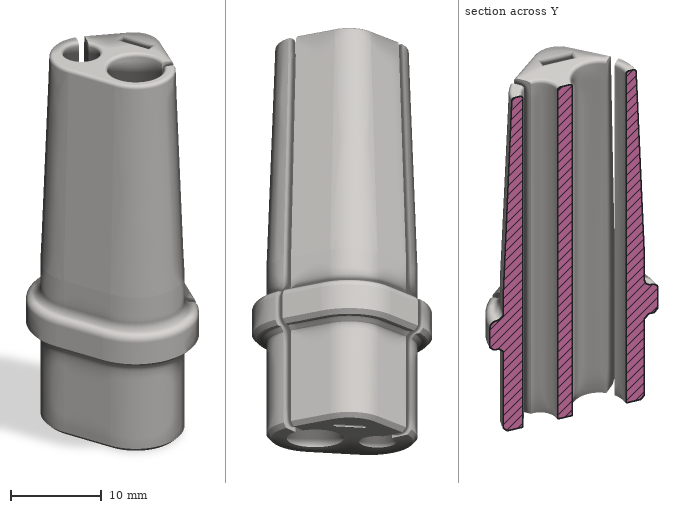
import cadquery as cq
import math

total_height = 45.5
collar_bottom = 11.5
collar_top = 15.5
taper_start = 19.5

lobe_x = 3.0
lobe_radius = 5.4
apex_radius = 4.0
apex_y = 4.5

collar_overhang = 1.6
collar_apex_overhang = 1.7
taper_inset = 1.0

top_edge_round = 0.4
mouth_round = 0.4
bottom_chamfer = 0.5
collar_top_round = collar_overhang / 2
collar_bottom_chamfer = 0.5

small_bore_x = -4.0
small_bore_radius = 2.05
large_bore_x = lobe_x
large_bore_radius = 3.15
slit_width = 1.0
slit_angle = 45.0
slit_length = 2 * (lobe_radius + collar_overhang)

strap_y = 5.0
strap_length = 3.6
strap_width = 0.7

selection_margin = 0.1


def outline(z, lobe_offset, apex_offset):
    """Closed outline at height z, with the straight body's lobes and apex grown by their offsets."""
    lobe = lobe_radius + lobe_offset
    apex = apex_radius + apex_offset
    centre_distance = math.hypot(lobe_x, apex_y)
    centre_angle = math.atan2(apex_y, -lobe_x)
    normal = centre_angle - math.acos((lobe - apex) / centre_distance)
    middle = (normal - math.pi / 2) / 2

    def lobe_point(side, angle):
        return (side * (lobe_x + lobe * math.cos(angle)), lobe * math.sin(angle))

    def apex_point(side):
        return (side * apex * math.cos(normal), apex_y + apex * math.sin(normal))

    return (
        cq.Workplane("XY", origin=(0, 0, z))
        .moveTo(-lobe_x, -lobe)
        .lineTo(lobe_x, -lobe)
        .threePointArc(lobe_point(1, middle), lobe_point(1, normal))
        .lineTo(*apex_point(1))
        .threePointArc((0, apex_y + apex), apex_point(-1))
        .lineTo(*lobe_point(-1, normal))
        .threePointArc(lobe_point(-1, middle), (-lobe_x, -lobe))
        .close()
    )


def prism(bottom, top, offset):
    return outline(bottom, offset, offset).extrude(top - bottom)


def frustum(bottom, top, bottom_offset, top_offset):
    lower = outline(bottom, bottom_offset, bottom_offset).wires().val()
    upper = outline(top, top_offset, top_offset).wires().val()
    return cq.Workplane(cq.Solid.makeLoft([lower, upper], True))


def edges_within(half_length, y_min, y_max, z):
    """Selector for the edges lying at height z inside a rectangle centred on X = 0."""
    return cq.selectors.BoxSelector(
        (-half_length - selection_margin, y_min - selection_margin, z - selection_margin),
        (half_length + selection_margin, y_max + selection_margin, z + selection_margin),
        boundingbox=True,
    )


def make_plug():
    plug = prism(0, collar_bottom, 0)
    return plug.faces("<Z").edges().chamfer(bottom_chamfer)


def make_collar():
    section = outline(collar_bottom, collar_overhang, collar_apex_overhang)
    collar = section.extrude(collar_top - collar_bottom)
    collar = collar.faces(">Z").edges().fillet(collar_top_round)
    return collar.faces("<Z").edges().chamfer(collar_bottom_chamfer)


def make_collar_root():
    """Chamfer in the corner below the collar."""
    root = collar_bottom_chamfer
    return frustum(collar_bottom - root, collar_bottom, 0, root)


def make_neck():
    """Straight neck above the collar, flared into it by a concave round."""
    base = prism(collar_bottom, collar_top, 2 * collar_overhang)
    stepped = base.union(prism(collar_top, taper_start, 0))
    corner = edges_within(lobe_x + lobe_radius, -lobe_radius, apex_y + apex_radius, collar_top)
    flared = stepped.edges(corner).fillet(collar_top_round)
    return flared.intersect(prism(collar_bottom, taper_start, collar_top_round))


def make_tapered_grip():
    grip = frustum(taper_start, total_height, 0, -taper_inset)
    return grip.faces(">Z").edges().fillet(top_edge_round)


def make_bore(x, radius):
    """Through bore with its upper mouth rounded over."""
    r = mouth_round
    arc_middle = r * (1 - math.sqrt(0.5))
    return (
        cq.Workplane("XZ")
        .lineTo(radius, 0)
        .lineTo(radius, total_height - r)
        .threePointArc((radius + arc_middle, total_height - arc_middle), (radius + r, total_height))
        .lineTo(0, total_height)
        .close()
        .revolve(360, (0, 0), (0, 1))
        .translate((x, 0, 0))
    )


def make_slit(side):
    """Full-height slit running diagonally outward from the centre of a lower lobe."""
    return (
        cq.Workplane("XY")
        .rect(slit_length, slit_width)
        .extrude(total_height)
        .translate((slit_length / 2, 0, 0))
        .rotate((0, 0, 0), (0, 0, 1), 90 - side * slit_angle)
        .translate((side * lobe_x, 0, 0))
    )


def cut_strap_opening(body):
    """Through opening with its upper mouth rounded over."""
    opening = cq.Workplane("XY").center(0, strap_y).rect(strap_length, strap_width).extrude(total_height)
    mouth = edges_within(strap_length / 2, strap_y - strap_width / 2, strap_y + strap_width / 2, total_height)
    return body.cut(opening).edges(mouth).fillet(mouth_round)


body = (
    make_plug()
    .union(make_collar_root())
    .union(make_collar())
    .union(make_neck())
    .union(make_tapered_grip())
)
body = cut_strap_opening(body)
body = body.cut(make_bore(small_bore_x, small_bore_radius))
body = body.cut(make_bore(large_bore_x, large_bore_radius))
for side in (-1, 1):
    body = body.cut(make_slit(side))

result = body